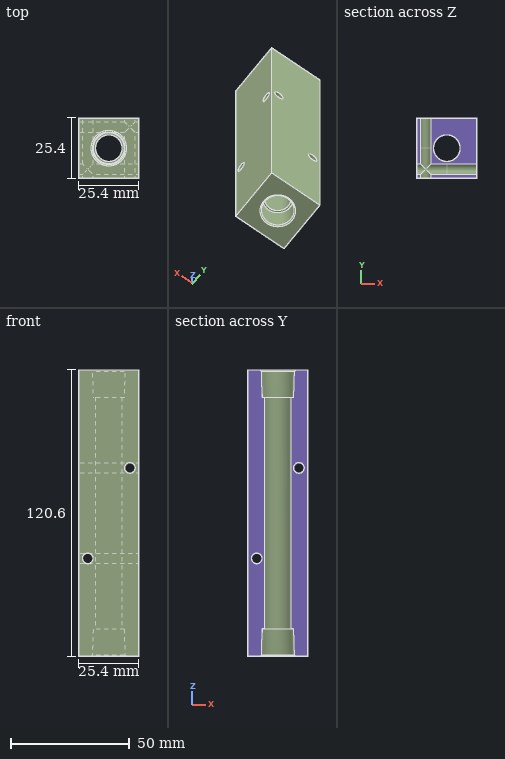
import cadquery as cq

length = 120.6
slenderness = 4.75
width = length / slenderness

bore_diameter = 11.1
mouth_diameter = 13.8
mouth_chamfer = 0.6
taper_depth = 11.6
taper_ratio = 1 / 16

cross_hole_diameter = 4.3
cross_hole_side_spacing = 17.7
cross_hole_offset = cross_hole_side_spacing / 2
cross_hole_spacing = 38.1
upper_hole_z = length / 2 + cross_hole_spacing / 2
lower_hole_z = length / 2 - cross_hole_spacing / 2


def make_bore():
    """Revolved cutter for the bore, with the tapered mouth and chamfer at both ends."""
    bore_radius = bore_diameter / 2
    mouth_radius = mouth_diameter / 2
    taper_end_radius = mouth_radius - taper_depth * taper_ratio / 2
    rim_radius = mouth_radius + mouth_chamfer
    profile = (
        cq.Workplane("XZ")
        .moveTo(0, 0)
        .lineTo(rim_radius, 0)
        .lineTo(mouth_radius, mouth_chamfer)
        .lineTo(taper_end_radius, taper_depth)
        .lineTo(bore_radius, taper_depth)
        .lineTo(bore_radius, length - taper_depth)
        .lineTo(taper_end_radius, length - taper_depth)
        .lineTo(mouth_radius, length - mouth_chamfer)
        .lineTo(rim_radius, length)
        .lineTo(0, length)
        .close()
    )
    return profile.revolve(360, (0, 0, 0), (0, 1, 0))


def make_cross_holes(plane):
    """One upper and one lower hole right through the bar, normal to the plane."""
    centres = [(cross_hole_offset, upper_hole_z), (-cross_hole_offset, lower_hole_z)]
    return (
        cq.Workplane(plane)
        .pushPoints(centres)
        .circle(cross_hole_diameter / 2)
        .extrude(width, both=True)
    )


bar = cq.Workplane("XY").box(width, width, length, centered=(True, True, False))
result = bar.cut(make_bore())
for plane in ("XZ", "YZ"):
    result = result.cut(make_cross_holes(plane))